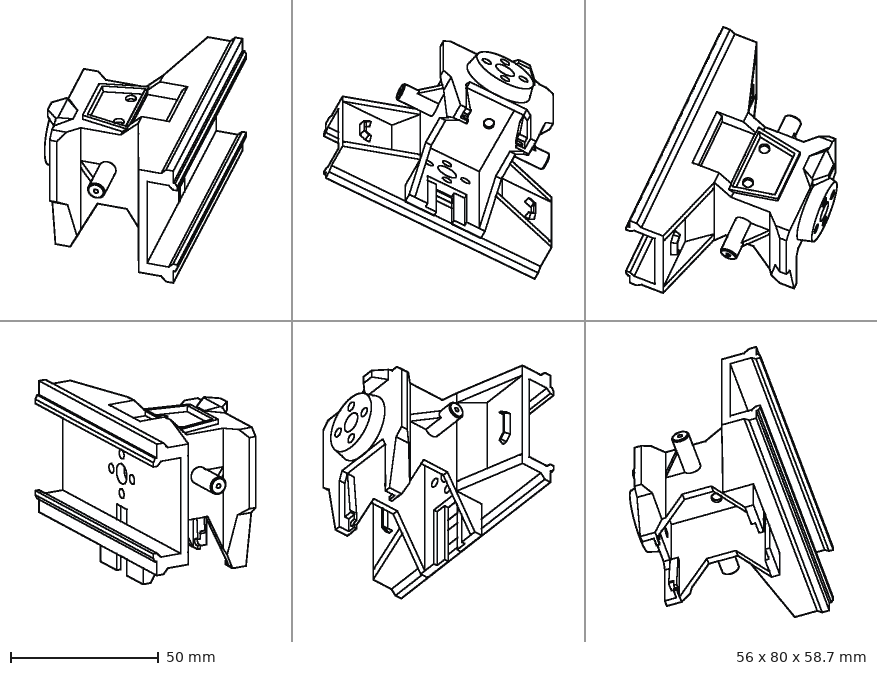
import cadquery as cq
import math


wall = 2.2
body_half_width = 14.5
body_half_height = 15.25
foot_bottom = -35.3
arch_front, arch_rear = 15.0, 25.3
front_foot_length = 5.3
front_wall = 2.35
cavity_half_width = body_half_width - wall
tray_floor = 15.0
tray_floor_thickness = 1.45
cavity_top = tray_floor - tray_floor_thickness

flare_half_width = 21.0
flare_edge = 2.5
flare_chamfer = 2.6
flare_foot_half_width = 18.05

plate_front = 37.3
plate_thickness = 3.0
plate_rear = plate_front + plate_thickness
plate_half_length = 40.0
plate_half_height = 21.5
wing_root = 29.4
wing_inner_half_height = 17.2
gusset_half_width = 21.1
rail_half_height = 23.4
rail_inner_half_height = 17.05
rail_slope_start, rail_slope_end = 45.3, 47.05
rail_face = 49.6
lip_end = 51.0
lip_half_height = 15.5
lip_slope_start, lip_slope_end = 47.95, 49.5
lip_shoulder = 18.45
lip_bevel_start = 50.3

opening_top = -11.7
opening_top_half_width = 10.9
opening_shoulder = -15.1
rear_pocket_half_width = 7.45
rear_pocket_depth = 1.4
rear_slot_half_width = 3.37
rib_rear = 5.2
rib_step_x = 4.1
rib_step_z = -29.8
rib_inner_y = 9.4
nib_y = 9.2
nib_top = -29.0
notch_diameter = 2.25
notch_z = -32.85
notch_end_y = 11.4

disc_thickness = 4.95
disc_root_radius = 12.0
disc_face_radius = 10.85
bore_diameter = 7.0
bolt_diameter = 3.25
bolt_circle_radius = 7.0
bolt_count = 4

pin_x = 18.5
pin_diameter = 6.0
pin_reach = 27.9
pin_chamfer = 0.4
pin_hole_diameter = 1.5
pin_hole_depth = 5.0
web_start_x = flare_edge + flare_half_width - body_half_width
web_tip_y = 25.7
web_thickness = 3.0

tray_front, tray_rear = 8.15, 25.0
tray_front_half_width, tray_rear_half_width = 9.55, 12.85
tray_top = 16.9
tray_rim_front, tray_rim_rear = 9.6, 24.1
tray_rim_front_half_width, tray_rim_rear_half_width = 8.5, 11.3
tray_floor_front, tray_floor_rear = 10.1, 23.2
tray_floor_front_half_width, tray_floor_rear_half_width = 7.95, 10.5
roof_hole_diameter = 3.5
roof_hole_x = 20.2
roof_hole_y = 7.0

pocket_half_width = 10.5
pocket_bevel_z = 19.6

beak_y = -7.75
beak_front = -4.1
beak_top = 16.9
beak_half_width = 6.15
beak_nose_half_width = 2.2
beak_nose_bottom = 14.0
beak_root_bottom = 12.5
beak_tail_length = 5.0
beak_tail_half_width = 2.6
beak_base_half_width = 8.3
beak_crest_x = 0.55
beak_crest_half_width = 5.6

bracket_height = 2.05
bracket_outer_y, bracket_inner_y = 33.4, 32.1
bracket_half_height = 6.55
bracket_outer_corner_z, bracket_inner_corner_z = 4.5, 4.1
bracket_side_draft = 0.65
bracket_end_draft = 0.5


def box(x_range, y_range, z_range):
    """Axis-aligned block between three pairs of limits."""
    size = [high - low for low, high in (x_range, y_range, z_range)]
    corner = (x_range[0], y_range[0], z_range[0])
    return cq.Workplane("XY").box(*size, centered=False).translate(corner)


def side_prism(points, half_width):
    """Outline in X and Z, extruded equally to both sides of Y = 0."""
    return cq.Workplane("XZ").polyline(points).close().extrude(half_width, both=True)


def front_prism(points, x_start, x_end):
    """Outline in Y and Z, extruded along X."""
    plane = cq.Workplane("YZ", origin=(x_start, 0, 0))
    return plane.polyline(points).close().extrude(x_end - x_start)


def plan_prism(points, z_start, z_end):
    """Outline in X and Y, extruded along Z."""
    plane = cq.Workplane("XY", origin=(0, 0, z_start))
    return plane.polyline(points).close().extrude(z_end - z_start)


def mirrored(points):
    """Half outline followed by its reflection in the first axis, for a closed outline."""
    return points + [(a, -b) for a, b in reversed(points)]


def both_sides(solid):
    """The solid together with its mirror image across Y = 0."""
    return solid.union(solid.mirror("XZ"))


def side_outline(half_width):
    """Side profile of the body: arch between the feet, and a ramp up to the wings."""
    ramp_start = wing_root - (plate_half_height - body_half_height)
    points = [
        (0, foot_bottom),
        (front_foot_length, foot_bottom),
        (arch_front, -body_half_height),
        (arch_rear, -body_half_height),
        (plate_front, foot_bottom),
        (plate_rear, foot_bottom),
        (plate_rear, plate_half_height),
        (wing_root, plate_half_height),
        (ramp_start, body_half_height),
        (0, body_half_height),
    ]
    return side_prism(points, half_width)


def make_flare():
    """Widened front plate, tapering down into the front feet."""
    plan = mirrored([
        (0, flare_half_width),
        (flare_edge, flare_half_width),
        (web_start_x, body_half_width),
    ])
    chamfer_z = body_half_height - flare_chamfer
    face = [
        (body_half_width, foot_bottom),
        (flare_foot_half_width, -body_half_height),
        (flare_half_width, -chamfer_z),
        (flare_half_width, chamfer_z),
        (flare_half_width - flare_chamfer, body_half_height),
    ]
    face += [(-y, z) for y, z in reversed(face)]
    flare = plan_prism(plan, foot_bottom, body_half_height)
    flare = flare.intersect(front_prism(face, 0, web_start_x))
    return flare.intersect(side_outline(flare_half_width))


def make_rails():
    """Rear plate with a hooked rail along its upper and lower edges."""
    outer = [
        (plate_front, plate_half_height),
        (rail_slope_start, plate_half_height),
        (rail_slope_end, rail_half_height),
        (rail_face, rail_half_height),
        (rail_face, lip_shoulder),
        (lip_bevel_start, lip_shoulder),
        (lip_end, rail_inner_half_height),
        (lip_end, lip_half_height),
        (lip_slope_end, lip_half_height),
        (lip_slope_start, rail_inner_half_height),
        (plate_rear, rail_inner_half_height),
    ]
    return side_prism(mirrored(outer), plate_half_length)


def make_wings():
    """Tapered flanges from the body to the upper and lower rails, with gussets between them."""
    plan = mirrored([
        (wing_root, body_half_width),
        (plate_front, plate_half_length),
    ])
    upper = plan_prism(plan, wing_inner_half_height, plate_half_height)
    gusset_plan = mirrored([
        (wing_root, body_half_width),
        (plate_front, gusset_half_width),
    ])
    gussets = plan_prism(gusset_plan, -wing_inner_half_height, wing_inner_half_height)
    return upper.union(upper.mirror("XY")).union(gussets)


def make_cavity():
    """Hollow of the body, its front opening and the stepped slot in the rear plate."""
    room = box(
        (front_wall, plate_front),
        (-cavity_half_width, cavity_half_width),
        (foot_bottom, cavity_top),
    )
    opening = [
        (cavity_half_width, foot_bottom),
        (cavity_half_width, opening_shoulder),
        (opening_top_half_width, opening_top),
    ]
    opening += [(-y, z) for y, z in reversed(opening)]
    rear_pocket = box(
        (plate_front, plate_front + rear_pocket_depth),
        (-rear_pocket_half_width, rear_pocket_half_width),
        (foot_bottom, opening_top),
    )
    rear_slot = box(
        (plate_front, plate_rear),
        (-rear_slot_half_width, rear_slot_half_width),
        (foot_bottom, opening_top),
    )
    return room.union(front_prism(opening, 0, front_wall)).union(rear_pocket).union(rear_slot)


def make_foot_ribs():
    """Tapered ribs inside the front feet, each with a small nib and a snap notch near its lower end."""
    face = [
        (cavity_half_width, foot_bottom),
        (rib_inner_y, foot_bottom),
        (rib_inner_y, rib_step_z),
        (opening_top_half_width, opening_top),
        (cavity_half_width, opening_top),
    ]
    rib = front_prism(face, front_wall, rib_rear).intersect(side_outline(cavity_half_width))
    step = box(
        (front_wall, rib_step_x),
        (rib_inner_y, cavity_half_width),
        (foot_bottom, rib_step_z),
    )
    nib = box(
        (front_wall, rib_step_x),
        (nib_y, cavity_half_width),
        (rib_step_z, nib_top),
    )
    notch_radius = notch_diameter / 2
    notch = front_prism(
        [
            (rib_inner_y, notch_z - notch_radius),
            (notch_end_y - notch_radius, notch_z - notch_radius),
            (notch_end_y - notch_radius, notch_z + notch_radius),
            (rib_inner_y, notch_z + notch_radius),
        ],
        front_wall,
        rib_rear,
    )
    notch_end = (
        cq.Workplane("YZ", origin=(front_wall, notch_end_y - notch_radius, notch_z))
        .circle(notch_radius)
        .extrude(rib_rear - front_wall)
    )
    return both_sides(rib.cut(step).cut(notch).cut(notch_end).union(nib))


def make_disc():
    """Tapered round boss on the front face."""
    profile = [
        (0, 0),
        (-disc_thickness, 0),
        (-disc_thickness, disc_face_radius),
        (0, disc_root_radius),
    ]
    return cq.Workplane("XY").polyline(profile).close().revolve(360, (0, 0, 0), (1, 0, 0))


def make_disc_holes():
    """Central bore and bolt holes, through the front wall and the rear plate."""
    depth = disc_thickness + plate_rear
    face = cq.Workplane("YZ", origin=(-disc_thickness, 0, 0))
    bore = face.circle(bore_diameter / 2).extrude(depth)
    bolts = (
        face.polarArray(bolt_circle_radius, 0, 360, bolt_count)
        .circle(bolt_diameter / 2)
        .extrude(depth)
    )
    return bore.union(bolts)


def make_pins():
    """Side pins with a chamfered, drilled end and a triangular web in front."""
    pin = (
        cq.Workplane("XZ", origin=(pin_x, -cavity_half_width, 0))
        .circle(pin_diameter / 2)
        .extrude(pin_reach - cavity_half_width)
        .faces("<Y")
        .chamfer(pin_chamfer)
    )
    web = plan_prism(
        [(web_start_x, -body_half_width), (pin_x, -body_half_width), (pin_x, -web_tip_y)],
        -web_thickness / 2,
        web_thickness / 2,
    )
    hole = (
        cq.Workplane("XZ", origin=(pin_x, -pin_reach + pin_hole_depth, 0))
        .circle(pin_hole_diameter / 2)
        .extrude(pin_hole_depth)
    )
    return both_sides(pin.union(web).cut(hole))


def make_tray():
    """Raised trapezoidal rim on the roof."""
    outline = mirrored([
        (tray_front, tray_front_half_width),
        (tray_rear, tray_rear_half_width),
    ])
    return plan_prism(outline, cavity_top, tray_top)


def make_tray_recess():
    """Tray hollow with sloping walls, and the two roof holes in its floor."""
    floor = mirrored([
        (tray_floor_front, tray_floor_front_half_width),
        (tray_floor_rear, tray_floor_rear_half_width),
    ])
    rim = mirrored([
        (tray_rim_front, tray_rim_front_half_width),
        (tray_rim_rear, tray_rim_rear_half_width),
    ])
    recess = (
        cq.Workplane("XY", origin=(0, 0, tray_floor))
        .polyline(floor)
        .close()
        .workplane(offset=tray_top - tray_floor)
        .polyline(rim)
        .close()
        .loft(ruled=True)
    )
    holes = (
        cq.Workplane("XY", origin=(0, 0, cavity_top))
        .pushPoints([(roof_hole_x, roof_hole_y), (roof_hole_x, -roof_hole_y)])
        .circle(roof_hole_diameter / 2)
        .extrude(tray_floor - cavity_top)
    )
    return recess.union(holes)


def make_roof_pocket():
    """Pocket behind the tray, level with the roof, with a bevelled rear edge."""
    bevel_end = plate_front + plate_half_height - pocket_bevel_z
    outline = [
        (tray_front, body_half_height),
        (plate_front, body_half_height),
        (plate_front, pocket_bevel_z),
        (bevel_end, plate_half_height),
        (tray_front, plate_half_height),
    ]
    return side_prism(outline, pocket_half_width)


def make_beak():
    """Pointed catch overhanging the front face, with a sloping tail on the roof."""
    nose_plan = [
        (0, -beak_half_width),
        (beak_front, -beak_nose_half_width),
        (beak_front, beak_nose_half_width),
        (0, beak_half_width),
    ]
    nose_side = [
        (0, beak_root_bottom),
        (beak_front, beak_nose_bottom),
        (beak_front, beak_top),
        (0, beak_top),
    ]
    nose = plan_prism(nose_plan, beak_root_bottom, beak_top)
    nose = nose.intersect(side_prism(nose_side, beak_half_width))
    tail = (
        cq.Workplane("XY", origin=(0, 0, body_half_height))
        .polyline(mirrored([(0, beak_base_half_width), (beak_tail_length, beak_tail_half_width)]))
        .close()
        .workplane(offset=beak_top - body_half_height)
        .polyline(mirrored([(0, beak_half_width), (beak_crest_x, beak_crest_half_width)]))
        .close()
        .loft(ruled=True)
    )
    return nose.union(tail).translate((0, beak_y, 0))


def bracket_outline(side_inset, end_inset):
    """Bracket outline whose outer side and ends are moved inward by the given insets."""
    half_height = bracket_half_height - end_inset
    outer_diagonal = bracket_outer_y + bracket_outer_corner_z - side_inset * math.sqrt(2)
    inner_diagonal = bracket_inner_y + bracket_inner_corner_z
    outer_y = bracket_outer_y - side_inset
    outer = [
        (outer_diagonal - half_height, half_height),
        (outer_y, outer_diagonal - outer_y),
    ]
    inner = [
        (inner_diagonal - half_height, half_height),
        (bracket_inner_y, bracket_inner_corner_z),
    ]
    outer += [(y, -z) for y, z in reversed(outer)]
    inner += [(y, -z) for y, z in reversed(inner)]
    return outer + inner[::-1]


def make_brackets():
    """Drafted brackets on the front faces of the wings."""
    bracket = (
        cq.Workplane("YZ", origin=(plate_front - bracket_height, 0, 0))
        .polyline(bracket_outline(bracket_side_draft, bracket_end_draft))
        .close()
        .workplane(offset=bracket_height)
        .polyline(bracket_outline(0, 0))
        .close()
        .loft(ruled=True)
    )
    return both_sides(bracket)


body = side_outline(body_half_width).union(make_flare()).union(make_rails()).union(make_wings())
body = body.cut(make_roof_pocket()).union(make_tray()).cut(make_cavity()).cut(make_tray_recess())
body = body.union(make_foot_ribs()).union(make_disc()).cut(make_disc_holes())
result = body.union(make_pins()).union(make_beak()).union(make_brackets())